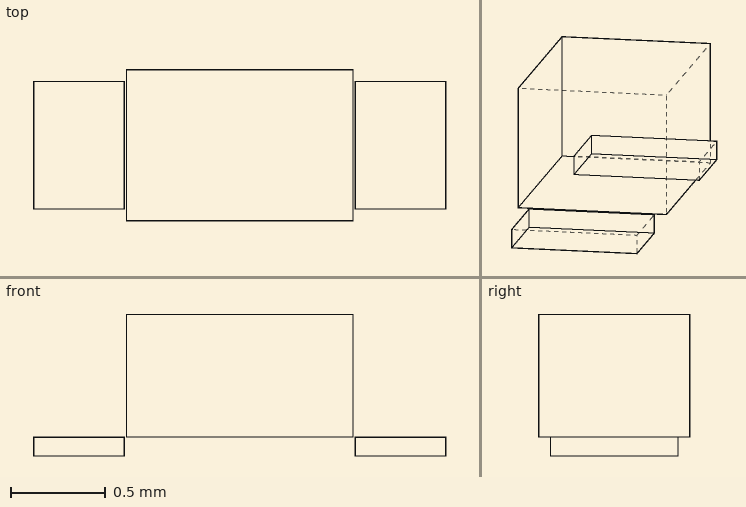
import cadquery as cq

overall_length = 2.18
overall_height = 0.75

body_length = 1.2
body_width = 0.8

terminal_length = 0.48
terminal_width = 0.675
terminal_thickness = 0.1

body_height = overall_height - terminal_thickness
terminal_offset = (overall_length - terminal_length) / 2


def make_body():
    """Plain rectangular block, centred in X and Y above the terminals."""
    return (
        cq.Workplane("XY")
        .workplane(offset=terminal_thickness)
        .rect(body_length, body_width)
        .extrude(body_height)
    )


def make_terminal(side):
    """Flat plate resting on Z = 0; side is -1 or +1 along X."""
    return (
        cq.Workplane("XY")
        .center(side * terminal_offset, 0)
        .rect(terminal_length, terminal_width)
        .extrude(terminal_thickness)
    )


body = make_body()
terminals = [make_terminal(side) for side in (-1, 1)]

result = cq.Compound.makeCompound([body.val(), *[terminal.val() for terminal in terminals]])